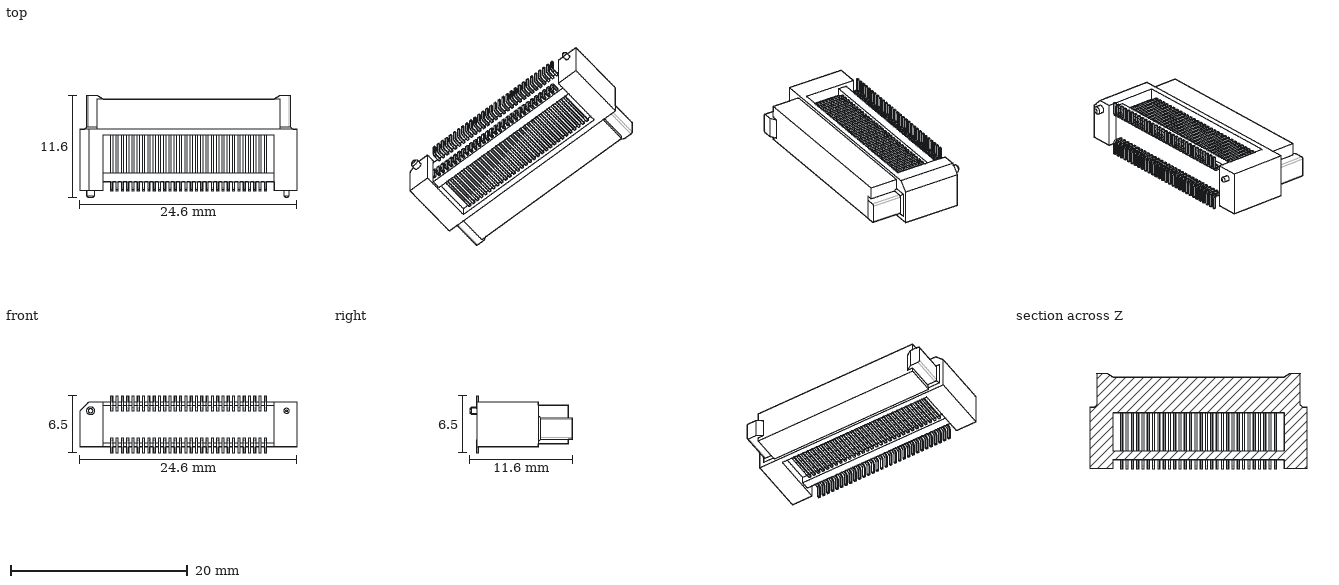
import cadquery as cq


HOUSING_LENGTH = 24.6
HOUSING_DEPTH = 6.95
HOUSING_HEIGHT = 5.1
POLARITY_CHAMFER = 1.0

END_WALL = 2.62
BACK_WALL = 0.65
BAR_FRONT = 1.0
BAR_BACK = 2.0
BAR_HEIGHT = 4.24
FLOOR_HEIGHT = 2.5

BLOCK_LENGTH = 20.7
BLOCK_PROJECTION = 3.4
BLOCK_HEIGHT = 4.4
GUIDE_OUTER_X = 11.55
GUIDE_PROJECTION = 3.85
GUIDE_TOP = 0.75
GUIDE_BOTTOM = -1.7
GUIDE_FILLET = 0.2
GUIDE_TIP_SLOPE = 0.7
COLLAR = 0.25

CONTACT_COUNT = 30
CONTACT_PITCH = 0.6
CONTACT_WIDTH = 0.25
CONTACT_THICKNESS = 0.2
CONTACT_SPAN = 6.5
CONTACT_INNER_Z = 1.55
CONTACT_OVERHANG = 0.05
BEND_INNER_RADIUS = 0.15
BACK_WALL_EMBED = 0.2

PEG_X = 11.1
PEG_LENGTH = 0.8
PEG_CHAMFER = 0.2
PEG_DIAMETER_LEFT = 0.9
PEG_DIAMETER_RIGHT = 0.6

HALF_HEIGHT = HOUSING_HEIGHT / 2
RECESS_LENGTH = HOUSING_LENGTH - 2 * END_WALL
RECESS_BACK = HOUSING_DEPTH - BACK_WALL
PEG_Z = HALF_HEIGHT - POLARITY_CHAMFER


def slab(length, y_start, y_end, height):
    """Box centred on X and Z, between two Y positions."""
    depth = y_end - y_start
    return cq.Workplane("XY").box(length, depth, height).translate((0, (y_start + y_end) / 2, 0))


def make_housing():
    """Body with one chamfered corner, recessed above and below a central floor and bar."""
    housing = slab(HOUSING_LENGTH, 0, HOUSING_DEPTH, HOUSING_HEIGHT)
    housing = housing.edges("<X and >Z").chamfer(POLARITY_CHAMFER)
    recess = slab(RECESS_LENGTH, 0, RECESS_BACK, HOUSING_HEIGHT)
    bar = slab(RECESS_LENGTH, BAR_FRONT, BAR_BACK, BAR_HEIGHT)
    floor = slab(RECESS_LENGTH, BAR_BACK, RECESS_BACK, FLOOR_HEIGHT)
    return housing.cut(recess).union(bar).union(floor)


def make_block():
    """Plain mating block on the +Y face of the housing."""
    return slab(BLOCK_LENGTH, HOUSING_DEPTH, HOUSING_DEPTH + BLOCK_PROJECTION, BLOCK_HEIGHT)


def make_guide():
    """Guide at the +X end: rounded outer edges, sloped inner tip, flared collar at the root."""
    block_end = HOUSING_DEPTH + BLOCK_PROJECTION
    tip = HOUSING_DEPTH + GUIDE_PROJECTION
    tip_inner_x = BLOCK_LENGTH / 2
    inner_x = tip_inner_x - GUIDE_TIP_SLOPE
    height = GUIDE_TOP - GUIDE_BOTTOM
    outline = [
        (inner_x, HOUSING_DEPTH),
        (GUIDE_OUTER_X, HOUSING_DEPTH),
        (GUIDE_OUTER_X, tip),
        (tip_inner_x, tip),
        (inner_x, block_end),
    ]
    guide = cq.Workplane("XY", origin=(0, 0, GUIDE_BOTTOM)).polyline(outline).close().extrude(height)
    guide = guide.edges("|Y and >X").fillet(GUIDE_FILLET)

    width = GUIDE_OUTER_X - inner_x
    root_centre = ((inner_x + GUIDE_OUTER_X) / 2, HOUSING_DEPTH, (GUIDE_TOP + GUIDE_BOTTOM) / 2)
    collar = (
        cq.Workplane(cq.Plane(root_centre, xDir=(1, 0, 0), normal=(0, 1, 0)))
        .rect(width + 2 * COLLAR, height + 2 * COLLAR)
        .workplane(offset=COLLAR)
        .rect(width, height)
        .loft(ruled=True)
    )
    return guide.union(collar)


def make_contact():
    """Upper contact at X = 0: tail through the bar along Y, bent up into a solder foot."""
    foot_front = -CONTACT_OVERHANG
    foot_back = foot_front + CONTACT_THICKNESS
    tail_top = CONTACT_INNER_Z + CONTACT_THICKNESS
    foot_top = CONTACT_SPAN / 2
    tail_end = RECESS_BACK + BACK_WALL_EMBED
    outer_radius = BEND_INNER_RADIUS + CONTACT_THICKNESS
    return (
        cq.Workplane("YZ", origin=(-CONTACT_WIDTH / 2, 0, 0))
        .moveTo(tail_end, CONTACT_INNER_Z)
        .lineTo(foot_front + outer_radius, CONTACT_INNER_Z)
        .radiusArc((foot_front, CONTACT_INNER_Z + outer_radius), outer_radius)
        .lineTo(foot_front, foot_top)
        .lineTo(foot_back, foot_top)
        .lineTo(foot_back, tail_top + BEND_INNER_RADIUS)
        .radiusArc((foot_back + BEND_INNER_RADIUS, tail_top), -BEND_INNER_RADIUS)
        .lineTo(tail_end, tail_top)
        .close()
        .extrude(CONTACT_WIDTH)
    )


def make_peg(x, diameter):
    """Locating peg on the solder side, chamfered at its tip."""
    peg = cq.Workplane("XZ", origin=(x, 0, PEG_Z)).circle(diameter / 2).extrude(PEG_LENGTH)
    return peg.faces("<Y").chamfer(PEG_CHAMFER)


guide = make_guide()
upper_contact = make_contact()
lower_contact = upper_contact.mirror("XY")

result = make_housing().union(make_block()).union(guide).union(guide.mirror("YZ"))
result = result.union(make_peg(-PEG_X, PEG_DIAMETER_LEFT))
result = result.union(make_peg(PEG_X, PEG_DIAMETER_RIGHT))

first_contact_x = -CONTACT_PITCH * (CONTACT_COUNT - 1) / 2
for index in range(CONTACT_COUNT):
    contact_x = first_contact_x + index * CONTACT_PITCH
    for contact in (upper_contact, lower_contact):
        result = result.union(contact.translate((contact_x, 0, 0)))